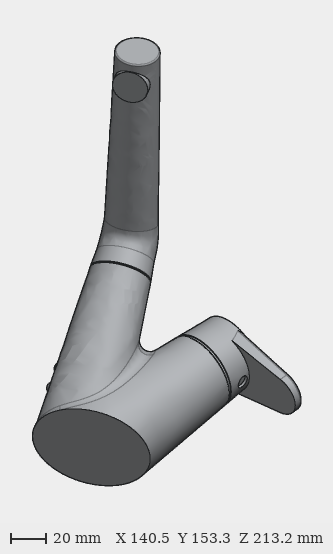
import cadquery as cq
import math

lean = 30
base_radius = 30.0
cap_end_radius = 22.0
body_length = 110.9
axis_x = math.sin(math.radians(lean))
axis_y = math.cos(math.radians(lean))
body_taper = (base_radius - cap_end_radius) / body_length
root_length = 42.6

groove_depth = 0.6
body_groove_place = 86.2
body_groove_width = 1.7
spout_groove_width = 0.9

lever_reach = 57.2
lever_tip_radius = 13.9
lever_root_thickness = 9.8
lever_tip_thickness = 5.8
lever_edge_round = 1.7
screw_diameter = 7.7
screw_depth = 2.1
screw_place = 97.0

spout_x = -10.7
spout_root_z = 2.5
spout_root_half_width = 24.5
spout_root_half_height = 23.0
joint_y = 97.7
joint_z = 41.5
joint_diameter = 35.8
joint_angle = 22.5
blend_radius = 6.5
crease_min_y = 2.1

elbow_start_centre = (108.3, 45.8)
elbow_start_half_sizes = (16.8, 16.5)
elbow_start_angle = 25
elbow_middle_centre = (118.0, 52.0)
elbow_middle_half_sizes = (16.5, 16.2)
elbow_middle_angle = 46
elbow_end_centre = (121.8, 62.0)
elbow_end_half_sizes = (15.5, 14.7)
elbow_end_angle = 68

top_centre = (140.5, 181.5)
top_radius = 13.0
top_angle = 82
top_edge_round = 0.9

outlet_x = -12.2
outlet_diameter = 21.0
outlet_y = 124.3
outlet_z = 168.0
outlet_depth = 12.8
outlet_tilt = 10

button_radius = 3.6
button_centres = ((-30.5, 40.0, 16.6), (-31.8, 28.4, 12.0))


def body_plane(distance):
    """Plane across the body axis, local x towards the lever and local y along -Z."""
    return cq.Plane(
        origin=(axis_x * distance, axis_y * distance, 0),
        xDir=(axis_y, -axis_x, 0),
        normal=(axis_x, axis_y, 0),
    )


def body_radius(distance):
    return base_radius - body_taper * distance


def ring(plane, outer, inner, width):
    return cq.Workplane(plane).circle(outer).circle(inner).extrude(width / 2, both=True)


def spout_section(x, y, z, half_width, half_height, angle):
    """Ellipse across the spout, whose axis rises at the given angle from +Y."""
    rise = math.radians(angle)
    plane = cq.Plane(
        origin=(x, y, z), xDir=(1, 0, 0), normal=(0, math.cos(rise), math.sin(rise))
    )
    return cq.Workplane(plane).ellipse(half_width, half_height).wires().val()


def loft(sections, ruled=False):
    return cq.Workplane(cq.Solid.makeLoft(sections, ruled))


def make_body():
    cone = cq.Workplane(
        cq.Solid.makeCone(
            body_radius(-root_length),
            cap_end_radius,
            body_length + root_length,
            pnt=cq.Vector(-axis_x * root_length, -axis_y * root_length, 0),
            dir=cq.Vector(axis_x, axis_y, 0),
        )
    )
    reach = 2 * body_length
    front_of_wall = cq.Workplane("XZ").rect(reach, reach).extrude(-reach)
    return cone.intersect(front_of_wall)


def make_lever():
    tip_centre = lever_reach - lever_tip_radius
    sine = (cap_end_radius - lever_tip_radius) / tip_centre
    cosine = math.sqrt(1 - sine**2)
    root = (cap_end_radius * sine, cap_end_radius * cosine)
    tip = (tip_centre + lever_tip_radius * sine, lever_tip_radius * cosine)
    plate = (
        cq.Workplane(body_plane(body_length))
        .moveTo(*root)
        .lineTo(*tip)
        .threePointArc((lever_reach, 0), (tip[0], -tip[1]))
        .lineTo(root[0], -root[1])
        .threePointArc((-cap_end_radius, 0), root)
        .close()
        .extrude(-lever_root_thickness)
    )
    side_plane = cq.Plane(
        origin=body_plane(body_length).origin.toTuple(),
        xDir=(axis_y, -axis_x, 0),
        normal=(0, 0, 1),
    )
    profile = (
        cq.Workplane(side_plane)
        .moveTo(-cap_end_radius, 0)
        .lineTo(lever_reach, 0)
        .lineTo(lever_reach, -lever_tip_thickness)
        .lineTo(0, -lever_root_thickness)
        .lineTo(-cap_end_radius, -lever_root_thickness)
        .close()
        .extrude(cap_end_radius, both=True)
    )
    lever = plate.intersect(profile)
    top_face = cq.selectors.DirectionMinMaxSelector(cq.Vector(axis_x, axis_y, 0))
    return lever.faces(top_face).edges().fillet(lever_edge_round)


def make_spout_arm():
    joint_radius = joint_diameter / 2
    root = spout_section(
        spout_x, 0, spout_root_z, spout_root_half_width, spout_root_half_height, 0
    )
    joint = spout_section(spout_x, joint_y, joint_z, joint_radius, joint_radius, joint_angle)
    return loft([root, joint], ruled=True)


def make_spout_tube():
    joint_radius = joint_diameter / 2
    joint = spout_section(spout_x, joint_y, joint_z, joint_radius, joint_radius, joint_angle)
    elbow_start = spout_section(spout_x, *elbow_start_centre, *elbow_start_half_sizes, elbow_start_angle)
    elbow_middle = spout_section(spout_x, *elbow_middle_centre, *elbow_middle_half_sizes, elbow_middle_angle)
    elbow_end = spout_section(spout_x, *elbow_end_centre, *elbow_end_half_sizes, elbow_end_angle)
    top = spout_section(outlet_x, *top_centre, top_radius, top_radius, top_angle)
    collar = loft([joint, elbow_start], ruled=True)
    elbow = loft([elbow_start, elbow_middle, elbow_end])
    tube = loft([elbow_end, top], ruled=True).faces(">Z").edges().fillet(top_edge_round)
    return collar.union(elbow).union(tube)


def make_outlet():
    tilt = math.radians(outlet_tilt)
    plane = cq.Plane(
        origin=(outlet_x, outlet_y, outlet_z),
        xDir=(1, 0, 0),
        normal=(0, -math.cos(tilt), math.sin(tilt)),
    )
    return cq.Workplane(plane).circle(outlet_diameter / 2).extrude(-outlet_depth)


def make_screw_recess():
    """Shallow round recess in the cap wall, under the lever."""
    across = cq.Vector(axis_y, -axis_x, 0)
    wall = body_plane(screw_place).origin + across * body_radius(screw_place)
    plane = cq.Plane(origin=wall.toTuple(), xDir=(0, 0, 1), normal=across.toTuple())
    return cq.Workplane(plane).circle(screw_diameter / 2).extrude(screw_depth, both=True)


def make_body_groove():
    radius = body_radius(body_groove_place)
    plane = body_plane(body_groove_place)
    return ring(plane, radius + groove_depth, radius - groove_depth, body_groove_width)


def make_spout_groove():
    rise = math.radians(joint_angle)
    plane = cq.Plane(
        origin=(spout_x, joint_y, joint_z),
        xDir=(1, 0, 0),
        normal=(0, math.cos(rise), math.sin(rise)),
    )
    radius = joint_diameter / 2
    return ring(plane, radius + groove_depth, radius - groove_depth, spout_groove_width)


result = make_body().union(make_spout_arm())
crease = [
    edge
    for edge in result.edges("%BSPLINE").vals()
    if edge.Center().y > crease_min_y
]
result = result.newObject(crease).fillet(blend_radius)

result = result.union(make_lever()).union(make_spout_tube()).union(make_outlet())
for centre in button_centres:
    result = result.union(cq.Workplane("XY").sphere(button_radius).translate(centre))

result = result.cut(make_screw_recess()).cut(make_body_groove()).cut(make_spout_groove())